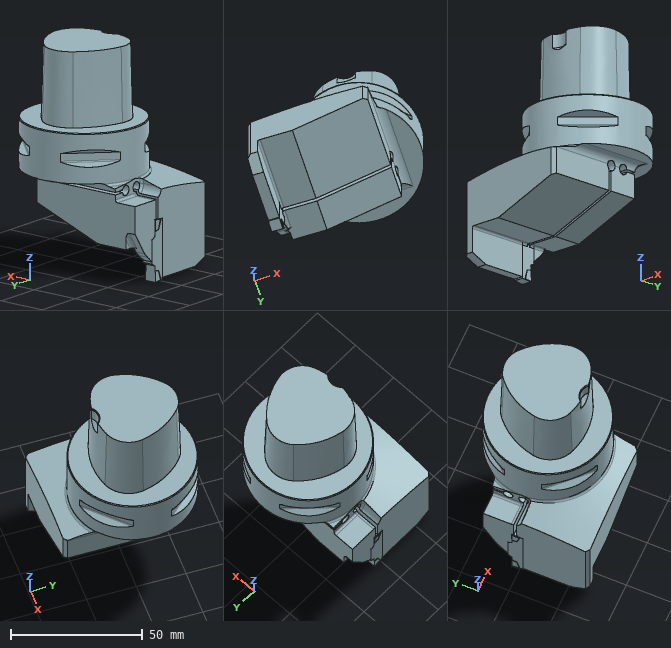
import cadquery as cq
import math


TOTAL_LENGTH = 90.0
REACH = 90.0

SHANK_LENGTH = 30.0
LOBE_REACH = 18.7
SIDE_REACH = 16.2
LOBE_RADIUS = 11.5
LOBE_OFFSET = 60
TAPER_SLOPE = 0.025
NOTCH_RADIUS = 5.0
NOTCH_INNER_Y = -13.8
NOTCH_DEPTH = 5.8
NOTCH_CHAMFER = 0.4
NOTCH_TIP_ANGLE = 40

FLANGE_RADIUS = 50.0 / 2
FLANGE_HEIGHT = 20.0
FLANGE_CHAMFER = 0.4
GRIP_FLAT = 22.2
GRIP_TOP = -6.6
GRIP_FLOOR_TOP = -8.5
GRIP_FLOOR_BOTTOM = -11.8
GRIP_BOTTOM = -13.4
GRIP_FILLET = 0.5

LEFT_X = -34.65
RIGHT_X = 13.5
FRONT_Y = -31.95
BACK_Y = 12.0
UNDERSIDE_Z = -45.3
SLOPE_START_X = -16.3
SLOPE_END_Z = -34.1
CORNER_X = 1.6
CORNER_Y = 1.35
FLARE_RADIUS = 3.5
CONE_EDGE_Z = -21.15
CONE_ANGLE = 15
SMALL_FILLET = 1.0

BLADE_THICKNESS = 4.5
BLADE_BOTTOM = -59.0
BLADE_BEVEL_Y = -24.6
BLADE_BEVEL_Z = -55.8
JAW_TIP = (1.6, -51.5)
JAW_BEND = (4.4, -49.05)
JAW_KNEE = (6.2, -47.25)
JAW_HEEL_Z = -38.3
RELIEF_FILLET = 1.5

HINGE_HOLE_DIAMETER = 4.0
HINGE_HOLE_Z = -23.85
OUTER_HOLE_Y = 5.8
INNER_HOLE_Y = -0.7
SIDE_SLOT_WIDTH = 1.0
JAW_SLOT_BACK_Y = -0.8
JAW_SLOT_FRONT_Y = -2.0

LEDGE_Z = -27.3
LEDGE_FRONT_Y = -4.0
LEDGE_CORNER_RADIUS = 4.1

INSERT_TOP = -35.1
INSERT_FRONT_Y = -4.7
INSERT_BACK_Y = -0.1
INSERT_CREST_Y = 1.6
END_RELIEF = 0.4
SHOULDER_LENGTH = 6.6
CREST_START = 7.65
LIP_OVERHANG = 0.4
LIP_ROOT_OVERHANG = 0.1
LIP_LENGTH = 4.7
LIP_ROOT_LENGTH = 4.3
LIP_ROOT_Y = -2.2
LIP_FRONT_Y = -3.4

BLADE_X = LEFT_X + BLADE_THICKNESS
FLANGE_BOTTOM = -FLANGE_HEIGHT
JAW_STEEPNESS = (JAW_HEEL_Z - JAW_KNEE[1]) / (BACK_Y - JAW_KNEE[0])
INSERT_BOTTOM = SHANK_LENGTH - TOTAL_LENGTH


def polar(radius, degrees):
    angle = math.radians(degrees)
    return (radius * math.cos(angle), radius * math.sin(angle))


def along_x(points, x_start, x_end):
    """Prism with a (Y, Z) outline, from x_start to x_end."""
    return cq.Workplane("YZ").workplane(offset=x_start).polyline(points).close().extrude(x_end - x_start)


def along_y(points, y_start, y_end):
    """Prism with an (X, Z) outline, from y_start to y_end."""
    return cq.Workplane("XZ").workplane(offset=-y_end).polyline(points).close().extrude(y_end - y_start)


def make_shank():
    """Six tangent arcs, three lobes and three flatter sides, drawn in by the taper."""
    lobe_center = LOBE_REACH - LOBE_RADIUS
    gap = SIDE_REACH - LOBE_RADIUS
    side_center = (lobe_center**2 - gap**2) / (2 * gap - lobe_center)
    run = lobe_center * math.sin(math.radians(LOBE_OFFSET))
    drop = side_center + lobe_center * math.cos(math.radians(LOBE_OFFSET))
    side_radius = side_center + SIDE_REACH
    joint_x = side_radius * run / math.hypot(run, drop)
    joint_y = side_center - side_radius * drop / math.hypot(run, drop)
    joint_radius = math.hypot(joint_x, joint_y)
    joint_angle = math.degrees(math.atan2(joint_x, -joint_y))

    outline = cq.Workplane("XY").moveTo(*polar(joint_radius, -90 - joint_angle))
    for side_angle in (-90, 30, 150):
        outline = outline.threePointArc(
            polar(SIDE_REACH, side_angle), polar(joint_radius, side_angle + joint_angle)
        )
        outline = outline.threePointArc(
            polar(LOBE_REACH, side_angle + LOBE_OFFSET),
            polar(joint_radius, side_angle + 2 * LOBE_OFFSET - joint_angle),
        )
    shank = outline.close().extrude(SHANK_LENGTH, taper=math.degrees(math.atan(TAPER_SLOPE)))
    return shank.cut(make_shank_notch())


def make_shank_notch():
    """Half-open drilled notch with a conical floor, in the front side of the shank."""
    floor_z = SHANK_LENGTH - NOTCH_DEPTH
    tip_z = floor_z - NOTCH_RADIUS * math.tan(math.radians(NOTCH_TIP_ANGLE))
    profile = [
        (0, tip_z),
        (NOTCH_RADIUS, floor_z),
        (NOTCH_RADIUS, SHANK_LENGTH - NOTCH_CHAMFER),
        (NOTCH_RADIUS + NOTCH_CHAMFER, SHANK_LENGTH),
        (0, SHANK_LENGTH),
    ]
    notch = cq.Workplane("XZ").polyline(profile).close().revolve(360, (0, 0), (0, 1))
    return notch.translate((0, NOTCH_INNER_Y - NOTCH_RADIUS, 0))


def make_flange():
    flange = cq.Workplane("XY").circle(FLANGE_RADIUS).extrude(-FLANGE_HEIGHT)
    flange = flange.faces(">Z").edges().chamfer(FLANGE_CHAMFER)
    groove = along_y(
        [
            (GRIP_FLAT, GRIP_FLOOR_TOP),
            (FLANGE_RADIUS, GRIP_TOP),
            (FLANGE_RADIUS, GRIP_BOTTOM),
            (GRIP_FLAT, GRIP_FLOOR_BOTTOM),
        ],
        -FLANGE_RADIUS,
        FLANGE_RADIUS,
    )
    lower_corner = cq.selectors.NearestToPointSelector((GRIP_FLAT, 0, GRIP_FLOOR_BOTTOM))
    groove = groove.edges(lower_corner).fillet(GRIP_FILLET)
    for angle in (45, 135, 225, 315):
        flange = flange.cut(groove.rotate((0, 0, 0), (0, 0, 1), angle))
    return flange


def make_cone_envelope():
    """Space under the conical top, which blends into the flange wall."""
    slope = math.tan(math.radians(CONE_ANGLE))
    tangent = SMALL_FILLET * math.tan(math.radians((90 - CONE_ANGLE) / 2))
    blend_z = CONE_EDGE_Z + tangent
    center = (FLANGE_RADIUS + SMALL_FILLET, blend_z)
    middle = polar(SMALL_FILLET, 180 + (90 - CONE_ANGLE) / 2)
    end = polar(SMALL_FILLET, 270 - CONE_ANGLE)
    return (
        cq.Workplane("XZ")
        .moveTo(0, FLANGE_BOTTOM)
        .lineTo(FLANGE_RADIUS, FLANGE_BOTTOM)
        .lineTo(FLANGE_RADIUS, blend_z)
        .threePointArc(
            (center[0] + middle[0], center[1] + middle[1]),
            (center[0] + end[0], center[1] + end[1]),
        )
        .lineTo(REACH, CONE_EDGE_Z - slope * (REACH - FLANGE_RADIUS))
        .lineTo(REACH, -REACH)
        .lineTo(0, -REACH)
        .close()
        .revolve(360, (0, 0), (0, 1))
    )


def flared_outline(plane, wall):
    """Start of an outline: along the flange, then down the concave flare onto a wall."""
    flare_z = FLANGE_BOTTOM - FLARE_RADIUS
    middle = polar(FLARE_RADIUS, 135)
    return (
        cq.Workplane(plane)
        .moveTo(wall + FLARE_RADIUS, FLANGE_BOTTOM)
        .threePointArc((wall + FLARE_RADIUS + middle[0], flare_z + middle[1]), (wall, flare_z))
    )


def make_block():
    """Thick part of the head, with its sloping underside."""
    front_outline = (
        flared_outline("XZ", RIGHT_X)
        .lineTo(RIGHT_X, SLOPE_END_Z)
        .lineTo(SLOPE_START_X, UNDERSIDE_Z)
        .lineTo(LEFT_X, UNDERSIDE_Z)
        .lineTo(LEFT_X, FLANGE_BOTTOM)
        .close()
        .extrude(REACH, both=True)
    )
    side_outline = (
        flared_outline("YZ", BACK_Y)
        .lineTo(BACK_Y, UNDERSIDE_Z)
        .lineTo(FRONT_Y, UNDERSIDE_Z)
        .lineTo(FRONT_Y, FLANGE_BOTTOM)
        .close()
        .extrude(REACH, both=True)
    )
    return front_outline.intersect(side_outline)


def make_jaw_relief():
    """Space below the jaw's lower edge, blended into the face of the thick block."""
    heel_y = BACK_Y + BLADE_THICKNESS
    heel_z = JAW_KNEE[1] + JAW_STEEPNESS * (heel_y - JAW_KNEE[0])
    relief = along_x(
        [
            JAW_KNEE,
            (heel_y, heel_z),
            (heel_y, -REACH),
            (JAW_KNEE[0], -REACH),
        ],
        LEFT_X - BLADE_THICKNESS,
        BLADE_X,
    )
    return relief.faces(">X").edges().fillet(RELIEF_FILLET)


def make_blade():
    """Thin plate under the block, with a bevelled front corner and the clamping jaw behind."""
    root_y = JAW_KNEE[0] + (UNDERSIDE_Z - JAW_KNEE[1]) / JAW_STEEPNESS
    blend_back_y = root_y - SMALL_FILLET / JAW_STEEPNESS
    plate = (
        cq.Workplane("YZ")
        .workplane(offset=LEFT_X)
        .moveTo(FRONT_Y, UNDERSIDE_Z)
        .lineTo(FRONT_Y, BLADE_BEVEL_Z)
        .lineTo(BLADE_BEVEL_Y, BLADE_BOTTOM)
        .lineTo(INSERT_FRONT_Y, BLADE_BOTTOM)
        .lineTo(INSERT_FRONT_Y, JAW_TIP[1])
        .lineTo(*JAW_TIP)
        .lineTo(*JAW_BEND)
        .tangentArcPoint(JAW_KNEE, relative=False)
        .lineTo(root_y, UNDERSIDE_Z)
        .close()
        .extrude(BLADE_THICKNESS)
    )
    blend = (
        cq.Workplane("XZ")
        .workplane(offset=-blend_back_y)
        .moveTo(BLADE_X, UNDERSIDE_Z)
        .lineTo(BLADE_X + SMALL_FILLET, UNDERSIDE_Z)
        .radiusArc((BLADE_X, UNDERSIDE_Z - SMALL_FILLET), -SMALL_FILLET)
        .close()
        .extrude(blend_back_y - FRONT_Y)
    )
    return plate.union(blend)


def cut_front_corners(head):
    for wall_x, inward in ((LEFT_X, CORNER_X), (RIGHT_X, -CORNER_X)):
        corner = [(wall_x + inward, FRONT_Y), (wall_x, FRONT_Y), (wall_x, FRONT_Y + CORNER_Y)]
        head = head.cut(cq.Workplane("XY").polyline(corner).close().extrude(-REACH))
    return head


def make_ledge_cutter():
    """Open step above the jaw, with rounded inner corners."""
    cutter = (
        cq.Workplane("XY")
        .box(REACH, REACH, REACH, centered=False)
        .translate((-FLANGE_RADIUS - REACH, LEDGE_FRONT_Y, LEDGE_Z))
    )
    cutter = cutter.edges("|X and <Y and <Z").fillet(LEDGE_CORNER_RADIUS)
    return cutter.faces(">X").edges().fillet(SMALL_FILLET)


def make_clamp_slots():
    """Two hinge holes with a slot from each: one out of the back, one down between the jaws."""
    holes = (
        cq.Workplane("YZ")
        .pushPoints([(OUTER_HOLE_Y, HINGE_HOLE_Z), (INNER_HOLE_Y, HINGE_HOLE_Z)])
        .circle(HINGE_HOLE_DIAMETER / 2)
        .extrude(REACH, both=True)
    )
    side_slot = (
        cq.Workplane("XY")
        .box(2 * REACH, REACH, SIDE_SLOT_WIDTH, centered=(True, False, True))
        .translate((0, OUTER_HOLE_Y, HINGE_HOLE_Z))
    )
    slot_corners = [
        (JAW_SLOT_FRONT_Y, HINGE_HOLE_Z),
        (JAW_SLOT_BACK_Y, HINGE_HOLE_Z),
        (JAW_SLOT_BACK_Y, JAW_TIP[1]),
        (JAW_SLOT_FRONT_Y, JAW_TIP[1]),
    ]
    jaw_slot = along_x(slot_corners, -REACH, REACH)
    return holes.union(side_slot).union(jaw_slot)


def make_insert():
    """Insert with a raised middle and a cutting lip at each end, alike about its middle height."""
    outline = [
        (INSERT_BACK_Y, INSERT_TOP),
        (INSERT_BACK_Y, INSERT_TOP - SHOULDER_LENGTH),
        (INSERT_CREST_Y, INSERT_TOP - CREST_START),
        (INSERT_CREST_Y, INSERT_BOTTOM + CREST_START),
        (INSERT_BACK_Y, INSERT_BOTTOM + SHOULDER_LENGTH),
        (INSERT_BACK_Y, INSERT_BOTTOM),
        (INSERT_FRONT_Y, INSERT_BOTTOM + END_RELIEF),
        (INSERT_FRONT_Y, INSERT_TOP - END_RELIEF),
    ]
    body = along_x(outline, LEFT_X, BLADE_X)

    lip_side = [
        (INSERT_BACK_Y, INSERT_BOTTOM),
        (INSERT_BACK_Y, INSERT_BOTTOM + LIP_LENGTH),
        (LIP_ROOT_Y, INSERT_BOTTOM + LIP_ROOT_LENGTH),
        (LIP_FRONT_Y, INSERT_BOTTOM + END_RELIEF),
    ]
    lip_front = [
        (LEFT_X - LIP_OVERHANG, INSERT_BOTTOM),
        (BLADE_X + LIP_OVERHANG, INSERT_BOTTOM),
        (BLADE_X + LIP_ROOT_OVERHANG, INSERT_BOTTOM + LIP_LENGTH),
        (LEFT_X - LIP_ROOT_OVERHANG, INSERT_BOTTOM + LIP_LENGTH),
    ]
    lower_lip = along_x(lip_side, -REACH, 0).intersect(along_y(lip_front, INSERT_FRONT_Y, 0))
    upper_lip = lower_lip.mirror("XY", (0, 0, (INSERT_TOP + INSERT_BOTTOM) / 2))
    return body.union(lower_lip).union(upper_lip)


def make_holder(insert):
    head = make_block().cut(make_jaw_relief())
    head = head.union(make_blade())
    head = cut_front_corners(head).intersect(make_cone_envelope())
    head = head.cut(make_ledge_cutter()).cut(make_clamp_slots())
    return make_shank().union(make_flange()).union(head).cut(insert)


insert = make_insert()
holder = make_holder(insert)
result = cq.Compound.makeCompound([holder.val(), insert.val()])